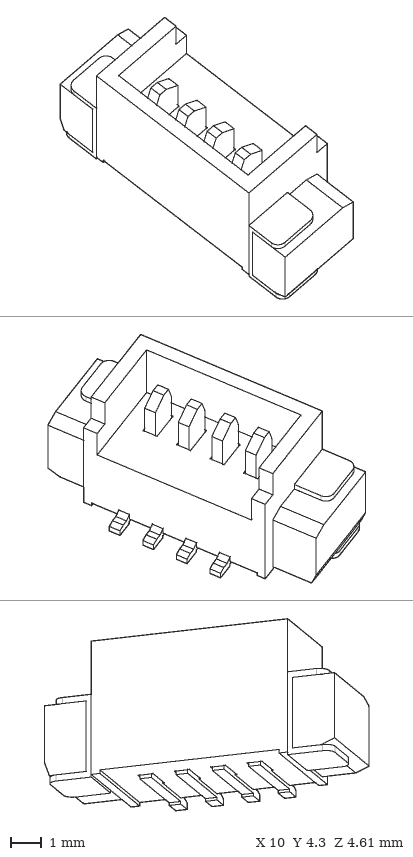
import cadquery as cq

BODY_WIDTH = 6.77
BODY_DEPTH = 3.69
BODY_BOTTOM = 0.21
BODY_TOP = 4.61
STEP_Y = 3.2
STEP_TOP = 3.61
FRONT_WALL = 0.5
SIDE_WALL = 0.51
CAVITY_FLOOR = 2.6
FOOT_BOTTOM = 0.09
FOOT_WIDTH = 0.3

WING_DEPTH = STEP_Y
WING_TOP = CAVITY_FLOOR
WING_BOTTOM = BODY_BOTTOM
WING_TIP = 5.0
LEFT_BEVEL_WIDTH = 0.17
LEFT_BEVEL_HEIGHT = 0.47
RIGHT_BEVEL_WIDTH = 0.46
RIGHT_BEVEL_HEIGHT = 0.18
REAR_BEVEL_DEPTH = 0.5
REAR_BEVEL_HEIGHT = 0.18

BRACKET_DEPTH = 1.81
BRACKET_PLATE = 0.21
BRACKET_WEB = 0.17
UPPER_PLATE_TIP = 4.69
LOWER_PLATE_TIP = 4.9
BRACKET_CORNER = 0.31

CONTACT_COUNT = 4
CONTACT_PITCH = 1.25
CONTACT_WIDTH = 0.4
SLOT_WIDTH = 0.52
BLADE_FRONT = 0.98
BLADE_REAR = 2.01
BLADE_NOSE_Z = 3.5
BLADE_PEAK_FRONT = 1.17
BLADE_PEAK_REAR = 1.47
BLADE_PEAK_Z = 4.01
BLADE_REAR_Z = 3.68
ARM_BOTTOM = FOOT_BOTTOM
ARM_TOP = 0.43
TAIL_REAR = 4.3
TAIL_END_Z = 0.22
TAIL_FLAT_FRONT = 3.88
TAIL_FLAT_REAR = 4.09
TAIL_FLAT_Z = 0.3

HALF_BODY = BODY_WIDTH / 2
CONTACT_PLACES = [(i - (CONTACT_COUNT - 1) / 2) * CONTACT_PITCH for i in range(CONTACT_COUNT)]


def box(x0, x1, y0, y1, z0, z1):
    """Block between two opposite corners."""
    return cq.Workplane("XY").box(x1 - x0, y1 - y0, z1 - z0, centered=False).translate((x0, y0, z0))


def side_profile(points, x0, x1):
    """Outline of (y, z) points, extruded from x0 to x1."""
    return cq.Workplane("YZ").workplane(offset=x0).polyline(points).close().extrude(x1 - x0)


def front_profile(points, y0, y1):
    """Outline of (x, z) points, extruded from y0 to y1."""
    return cq.Workplane("XZ").workplane(offset=-y0).polyline(points).close().extrude(y0 - y1)


def make_shell():
    """Housing core with stepped side walls and a cavity open at the top and rear."""
    outline = [
        (0, BODY_BOTTOM),
        (BODY_DEPTH, BODY_BOTTOM),
        (BODY_DEPTH, STEP_TOP),
        (STEP_Y, STEP_TOP),
        (STEP_Y, BODY_TOP),
        (0, BODY_TOP),
    ]
    half_cavity = HALF_BODY - SIDE_WALL
    cavity = box(-half_cavity, half_cavity, FRONT_WALL, BODY_DEPTH, CAVITY_FLOOR, BODY_TOP)
    return side_profile(outline, -HALF_BODY, HALF_BODY).cut(cavity)


def make_foot(side):
    """Low rail along one bottom edge; side is -1 for left and 1 for right."""
    x_start, x_end = sorted((side * HALF_BODY, side * (HALF_BODY - FOOT_WIDTH)))
    return box(x_start, x_end, 0, BODY_DEPTH, FOOT_BOTTOM, BODY_BOTTOM)


def make_wing(side, bevel_width, bevel_height):
    """Block at one end, beveled along the lower tip edge and the upper rear edge."""
    root = side * HALF_BODY
    tip = side * WING_TIP
    outline = [
        (root, WING_BOTTOM),
        (root, WING_TOP),
        (tip, WING_TOP),
        (tip, WING_BOTTOM + bevel_height),
        (tip - side * bevel_width, WING_BOTTOM),
    ]
    rear_bevel = [
        (WING_DEPTH - REAR_BEVEL_DEPTH, WING_TOP),
        (WING_DEPTH, WING_TOP),
        (WING_DEPTH, WING_TOP - REAR_BEVEL_HEIGHT),
    ]
    wing = front_profile(outline, 0, WING_DEPTH)
    return wing.cut(side_profile(rear_bevel, min(root, tip), max(root, tip)))


def make_bracket(side):
    """C-shaped bracket: a web against the housing side and a plate above and below the wing."""
    web_outer = HALF_BODY + BRACKET_WEB
    web = box(HALF_BODY, web_outer, 0, BRACKET_DEPTH, WING_BOTTOM, WING_TOP)
    lower = box(HALF_BODY, LOWER_PLATE_TIP, 0, BRACKET_DEPTH, WING_BOTTOM - BRACKET_PLATE, WING_BOTTOM)
    upper = box(HALF_BODY, UPPER_PLATE_TIP, 0, BRACKET_DEPTH, WING_TOP, WING_TOP + BRACKET_PLATE)
    lower = lower.edges("|Z and >X").fillet(BRACKET_CORNER)
    upper = upper.edges("|Z and >X").fillet(BRACKET_CORNER)
    bracket = web.union(lower).union(upper)
    return bracket if side > 0 else bracket.mirror("YZ")


def make_contact(x):
    """Contact: an upright blade with a sloped head, and an arm to a solder tail."""
    outline = [
        (BLADE_FRONT, ARM_BOTTOM),
        (BLADE_FRONT, BLADE_NOSE_Z),
        (BLADE_PEAK_FRONT, BLADE_PEAK_Z),
        (BLADE_PEAK_REAR, BLADE_PEAK_Z),
        (BLADE_REAR, BLADE_REAR_Z),
        (BLADE_REAR, ARM_TOP),
        (BODY_DEPTH, ARM_TOP),
        (TAIL_FLAT_FRONT, TAIL_FLAT_Z),
        (TAIL_FLAT_REAR, TAIL_FLAT_Z),
        (TAIL_REAR, TAIL_END_Z),
        (TAIL_REAR, 0),
        (BODY_DEPTH, 0),
        (BODY_DEPTH, ARM_BOTTOM),
    ]
    return side_profile(outline, x - CONTACT_WIDTH / 2, x + CONTACT_WIDTH / 2)


def contact_slot(x):
    """Clearance slot for the blade, through the housing floor."""
    half_slot = SLOT_WIDTH / 2
    return box(x - half_slot, x + half_slot, BLADE_FRONT, BLADE_REAR, BODY_BOTTOM, CAVITY_FLOOR)


brackets = [make_bracket(side) for side in (-1, 1)]
contacts = [make_contact(x) for x in CONTACT_PLACES]

housing = make_shell()
for side in (-1, 1):
    housing = housing.union(make_foot(side))
housing = housing.union(make_wing(-1, LEFT_BEVEL_WIDTH, LEFT_BEVEL_HEIGHT))
housing = housing.union(make_wing(1, RIGHT_BEVEL_WIDTH, RIGHT_BEVEL_HEIGHT))
for x in CONTACT_PLACES:
    housing = housing.cut(contact_slot(x))
for insert in brackets + contacts:
    housing = housing.cut(insert)

result = cq.Compound.makeCompound([
    housing.solids().val(),
    *[bracket.solids().val() for bracket in brackets],
    *[contact.val() for contact in contacts],
])